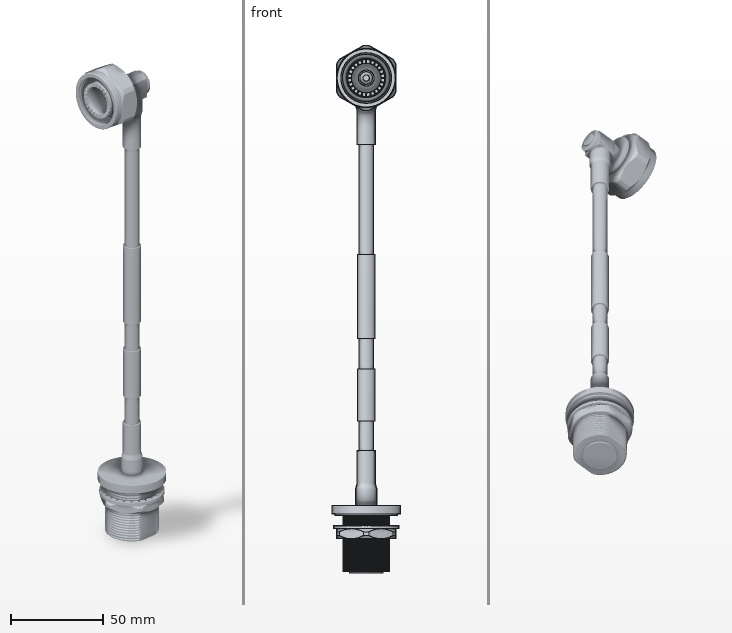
import cadquery as cq
import math

TOTAL_HEIGHT = 285.5

CABLE_RADIUS = 4.0
FERRULE_DIAMETER = 10.0
FERRULE_RADIUS = FERRULE_DIAMETER / 2
COLLAR_RADIUS = 5.7
COLLAR_TAPER = 2.5
SLEEVE_RADIUS = 4.9
SLEEVE_SPANS = [(82.2, 110.5), (126.7, 172.5)]

HEX_APOTHEM = 16.0
HEX_CORNER_RADIUS = 17.7
HEX_CHAMFER_HEIGHT = 1.7

THREAD_RADIUS = 14.5
THREAD_DEPTH = 0.9
THREAD_PITCH = 1.5
THREAD_ROOT_RADIUS = THREAD_RADIUS - THREAD_DEPTH

PLUG_AXIS_Z = TOTAL_HEIGHT - HEX_CORNER_RADIUS
UPPER_FERRULE_BOTTOM = 231.8
UPPER_CABLE_END = 253.0
ELBOW_HALF_HEIGHT = 6.5
CAP_RADIUS = ELBOW_HALF_HEIGHT
NECK_RADIUS = ELBOW_HALF_HEIGHT
ELBOW_CHAMFER_WIDTH = 2.7
ELBOW_CHAMFER_HEIGHT = 2.0
CAP_LENGTH = 1.7
BUTTON_RADIUS = 3.7
BUTTON_LENGTH = 0.9
NECK_END = 8.8
FLANGE_RADIUS = 12.5
FLANGE_END = 10.0
HUB_RADIUS = 10.8
SHOULDER_START = 13.7
SHOULDER_END = 15.7
CONTACT_OUTER_RADIUS = 10.0
CONTACT_INNER_RADIUS = 8.0
CONTACT_END = 26.5
CONTACT_FLOOR = 11.5
SLOT_COUNT = 24
SLOT_WIDTH = 0.5
SLOT_LENGTH = 0.9
BEAD_CIRCLE_RADIUS = 11.7
BEAD_RADIUS = 1.0
PIN_BASE_RADIUS = 4.3
PIN_BASE_END = 13.0
PIN_RADIUS = 3.5
PIN_END = 15.7
PIN_TIP_CHAMFER = 1.7

COUPLING_BACK = 11.7
COUPLING_HEX_END = 22.8
COUPLING_FRONT = 27.0
COUPLING_RIM_CHAMFER = 0.3

JACK_LIP_RADIUS = 9.0
JACK_LIP_HEIGHT = 0.9
JACK_FLAT = 12.5
DISC_RADIUS = 18.5
DISC_BOTTOM = 32.0
DISC_TOP = 36.5
SEAL_RADIUS = 16.8
SEAL_HEIGHT = 0.9
LOWER_COLLAR_TOP = 48.2
LOWER_FERRULE_TOP = 66.2

MOUNT_NUT_BOTTOM = 18.5
MOUNT_NUT_TOP = 24.0
WASHER_RADIUS = 17.7
WASHER_TOP = 25.7
WASHER_TOOTH_COUNT = 24
WASHER_NOTCH_RADIUS = 16.5
WASHER_NOTCH_WIDTH = 1.0


def cylinder(radius, bottom, top):
    """Cylinder on the Z axis."""
    return cq.Workplane("XY").workplane(offset=bottom).circle(radius).extrude(top - bottom)


def tube(outer_radius, inner_radius, bottom, top):
    """Hollow cylinder on the Z axis."""
    return cylinder(outer_radius, bottom, top).cut(cylinder(inner_radius, bottom, top))


def turned(points):
    """Solid of revolution about Z from (radius, height) points."""
    return cq.Workplane("XZ").polyline(points).close().revolve(360, (0, 0, 0), (0, 1, 0))


def chamfered_hex(bottom, top):
    """Hexagonal prism with flats facing X and its corners turned down and chamfered."""
    hexagon = (
        cq.Workplane("XY").workplane(offset=bottom)
        .polygon(6, 2 * HEX_APOTHEM / math.cos(math.pi / 6)).extrude(top - bottom)
        .rotate((0, 0, 0), (0, 0, 1), 30)
    )
    envelope = turned([
        (0, bottom),
        (HEX_APOTHEM, bottom),
        (HEX_CORNER_RADIUS, bottom + HEX_CHAMFER_HEIGHT),
        (HEX_CORNER_RADIUS, top - HEX_CHAMFER_HEIGHT),
        (HEX_APOTHEM, top),
        (0, top),
    ])
    return hexagon.intersect(envelope)


def radial_slots(count, width, reach, bottom, top):
    """Slot-shaped cutters that run from the Z axis out to a radius, spaced evenly round it."""
    slot = (
        cq.Workplane("XY").workplane(offset=bottom)
        .center(reach / 2, 0).rect(reach, width).extrude(top - bottom)
    )
    return [slot.rotate((0, 0, 0), (0, 0, 1), index * 360 / count) for index in range(count)]


def on_plug_axis(shape):
    """Turn a shape built along +Z so that +Z becomes -Y on the plug axis."""
    return shape.rotate((0, 0, 0), (1, 0, 0), 90).translate((0, 0, PLUG_AXIS_Z))


def make_cable():
    return cylinder(CABLE_RADIUS, LOWER_COLLAR_TOP, UPPER_CABLE_END)


def make_sleeve(bottom, top):
    return tube(SLEEVE_RADIUS, CABLE_RADIUS, bottom, top)


def elbow_block():
    """Block at the bend, with both long upper edges chamfered."""
    top = ELBOW_HALF_HEIGHT
    shoulder = top - ELBOW_CHAMFER_HEIGHT
    flat = COLLAR_RADIUS - ELBOW_CHAMFER_WIDTH
    outline = [
        (-COLLAR_RADIUS, -top), (COLLAR_RADIUS, -top), (COLLAR_RADIUS, shoulder),
        (flat, top), (-flat, top), (-COLLAR_RADIUS, shoulder),
    ]
    return (
        cq.Workplane("XY").workplane(offset=-COLLAR_RADIUS)
        .polyline(outline).close().extrude(2 * COLLAR_RADIUS)
    )


def plug_front():
    """Turned part of the plug, with its contact socket and centre pin, built along +Z."""
    front = (
        cylinder(NECK_RADIUS, COLLAR_RADIUS, NECK_END)
        .union(cylinder(FLANGE_RADIUS, NECK_END, FLANGE_END))
        .union(cylinder(HUB_RADIUS, FLANGE_END, SHOULDER_END))
        .union(cylinder(THREAD_ROOT_RADIUS, SHOULDER_START, SHOULDER_END))
        .union(cylinder(CONTACT_OUTER_RADIUS, SHOULDER_END, CONTACT_END))
    )
    front = front.cut(cylinder(CONTACT_INNER_RADIUS, CONTACT_FLOOR, CONTACT_END))
    slots = radial_slots(SLOT_COUNT, SLOT_WIDTH, CONTACT_OUTER_RADIUS, CONTACT_END - SLOT_LENGTH, CONTACT_END)
    for slot in slots:
        front = front.cut(slot)
    bead = (
        cq.Workplane("XZ").center(BEAD_CIRCLE_RADIUS, SHOULDER_END).circle(BEAD_RADIUS)
        .revolve(360, (-BEAD_CIRCLE_RADIUS, 0, 0), (-BEAD_CIRCLE_RADIUS, 1, 0))
    )
    pin = cylinder(PIN_RADIUS, CONTACT_FLOOR, PIN_END).faces(">Z").chamfer(PIN_TIP_CHAMFER)
    pin_base = cylinder(PIN_BASE_RADIUS, CONTACT_FLOOR, PIN_BASE_END)
    return front.union(bead).union(pin_base).union(pin)


def make_plug():
    back_end = COLLAR_RADIUS + CAP_LENGTH
    cap = cylinder(CAP_RADIUS, -back_end, -COLLAR_RADIUS)
    button = cylinder(BUTTON_RADIUS, -back_end - BUTTON_LENGTH, -back_end)
    head = elbow_block().union(cap).union(button).union(plug_front())
    stem = turned([
        (0, UPPER_FERRULE_BOTTOM),
        (FERRULE_RADIUS, UPPER_FERRULE_BOTTOM),
        (FERRULE_RADIUS, UPPER_CABLE_END - COLLAR_TAPER),
        (COLLAR_RADIUS, UPPER_CABLE_END),
        (COLLAR_RADIUS, PLUG_AXIS_Z),
        (0, PLUG_AXIS_Z),
    ])
    cable_bore = cylinder(CABLE_RADIUS, UPPER_FERRULE_BOTTOM, UPPER_CABLE_END)
    return on_plug_axis(head).union(stem.cut(cable_bore))


def threaded_rod(bottom, top):
    """Rod on the Z axis with ring grooves at the thread pitch; crests and roots are a quarter pitch wide."""
    quarter = THREAD_PITCH / 4
    profile = [(0, bottom), (THREAD_ROOT_RADIUS, bottom)]
    for index in range(math.floor((top - bottom) / THREAD_PITCH)):
        start = bottom + index * THREAD_PITCH
        profile += [
            (THREAD_ROOT_RADIUS, start + quarter),
            (THREAD_RADIUS, start + 2 * quarter),
            (THREAD_RADIUS, start + 3 * quarter),
            (THREAD_ROOT_RADIUS, start + 4 * quarter),
        ]
    profile += [(THREAD_ROOT_RADIUS, top), (0, top)]
    return turned(profile)


def make_coupling_nut():
    collar = cylinder(HEX_APOTHEM, COUPLING_HEX_END - HEX_CHAMFER_HEIGHT, COUPLING_FRONT)
    collar = collar.faces(">Z").chamfer(COUPLING_RIM_CHAMFER)
    nut = chamfered_hex(COUPLING_BACK, COUPLING_HEX_END).union(collar)
    nut = nut.cut(cylinder(HUB_RADIUS, COUPLING_BACK, SHOULDER_START))
    nut = nut.cut(cylinder(THREAD_ROOT_RADIUS, SHOULDER_START, SHOULDER_END))
    nut = nut.cut(threaded_rod(SHOULDER_END, COUPLING_FRONT))
    return on_plug_axis(nut)


def threaded_barrel():
    """Threaded barrel of the jack with a flat on each X side."""
    flats = cq.Workplane("XY").box(2 * JACK_FLAT, 2 * DISC_RADIUS, DISC_TOP, centered=(True, True, False))
    return threaded_rod(JACK_LIP_HEIGHT, DISC_BOTTOM).intersect(flats)


def make_jack():
    body = threaded_barrel().union(cylinder(JACK_LIP_RADIUS, 0, JACK_LIP_HEIGHT))
    body = body.union(cylinder(DISC_RADIUS, DISC_BOTTOM, DISC_TOP))
    body = body.union(tube(SEAL_RADIUS, THREAD_RADIUS, DISC_BOTTOM - SEAL_HEIGHT, DISC_BOTTOM))
    stem = turned([
        (0, DISC_TOP),
        (COLLAR_RADIUS, DISC_TOP),
        (COLLAR_RADIUS, LOWER_COLLAR_TOP - COLLAR_TAPER),
        (FERRULE_RADIUS, LOWER_COLLAR_TOP),
        (FERRULE_RADIUS, LOWER_FERRULE_TOP),
        (0, LOWER_FERRULE_TOP),
    ])
    cable_bore = cylinder(CABLE_RADIUS, LOWER_COLLAR_TOP, LOWER_FERRULE_TOP)
    return body.union(stem.cut(cable_bore))


def make_mount_nut():
    bore = cylinder(THREAD_RADIUS, MOUNT_NUT_BOTTOM, MOUNT_NUT_TOP)
    return chamfered_hex(MOUNT_NUT_BOTTOM, MOUNT_NUT_TOP).cut(bore)


def make_washer():
    """Lock washer with internal teeth, left standing between notches in its bore."""
    washer_ring = tube(WASHER_RADIUS, THREAD_RADIUS, MOUNT_NUT_TOP, WASHER_TOP)
    notches = radial_slots(
        WASHER_TOOTH_COUNT, WASHER_NOTCH_WIDTH, WASHER_NOTCH_RADIUS, MOUNT_NUT_TOP, WASHER_TOP
    )
    for notch in notches:
        washer_ring = washer_ring.cut(notch)
    return washer_ring


cable = make_cable()
sleeves = [make_sleeve(bottom, top) for bottom, top in SLEEVE_SPANS]
plug = make_plug()
coupling_nut = make_coupling_nut()
jack = make_jack()
mount_nut = make_mount_nut()
washer = make_washer()

result = cq.Compound.makeCompound([
    cable.val(),
    *[sleeve.val() for sleeve in sleeves],
    plug.val(),
    coupling_nut.val(),
    jack.val(),
    mount_nut.val(),
    washer.val(),
])